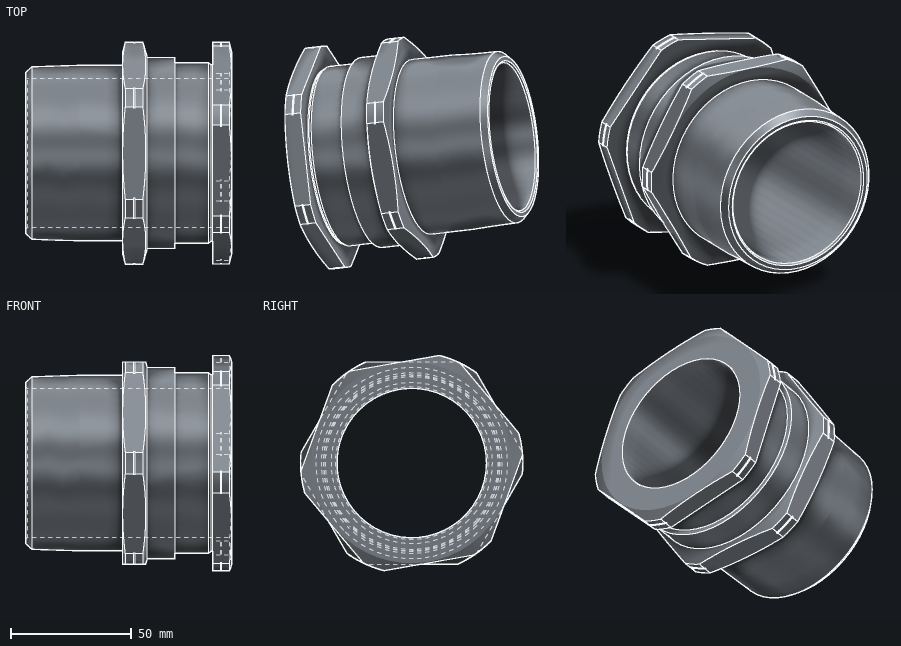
import cadquery as cq
import math

total_length = 85.6
tip_chamfer_end = 2.6
taper_end = 22.4
body_nut_start = 40.2
body_nut_end = 50.4
collar_end = 62.0
sleeve_end = 77.0
cap_start = 77.6

tip_radius = 33.4
taper_radius = 35.8
thread_radius = 36.5
collar_radius = 39.7
sleeve_radius = 37.5
neck_radius = 36.7
sleeve_chamfer_length = 1.2
bore_radius = 30.9
bore_mouth_radius = 31.7
bore_mouth_depth = bore_mouth_radius - bore_radius

corner_radius = 46.2
flat_distance = 42.0
bevel_radius = 41.65
body_nut_back_radius = 40.1
front_bevel_length = 1.2
back_bevel_length = 1.8
cap_bevel_length = 1.1
cap_angle = 10.0

groove_width = 0.5
groove_depth = 0.2
body_groove_position = 45.1
cap_groove_position = 81.1


def revolve_about_x(points):
    """Turn a closed (x, radius) outline about the X axis."""
    return cq.Workplane("XY").polyline(points).close().revolve(360, (0, 0, 0), (1, 0, 0))


def hexagon(start, end):
    """Hexagonal prism along X with two corners on the Y axis."""
    across_corners = 2 * flat_distance / math.cos(math.radians(30))
    return cq.Workplane("YZ", origin=(start, 0, 0)).polygon(6, across_corners).extrude(end - start)


def corner_groove(position):
    """Ring that cuts a fine groove into the rounded corners."""
    bottom_radius = corner_radius - groove_depth
    ring = cq.Workplane("YZ", origin=(position - groove_width / 2, 0, 0))
    return ring.circle(corner_radius + groove_depth).circle(bottom_radius).extrude(groove_width)


def make_body():
    return revolve_about_x([
        (0, 0),
        (0, tip_radius),
        (tip_chamfer_end, taper_radius),
        (taper_end, thread_radius),
        (body_nut_start, thread_radius),
        (body_nut_start, collar_radius),
        (collar_end, collar_radius),
        (collar_end, sleeve_radius),
        (sleeve_end - sleeve_chamfer_length, sleeve_radius),
        (sleeve_end, neck_radius),
        (total_length, neck_radius),
        (total_length, 0),
    ])


def make_body_nut():
    envelope = revolve_about_x([
        (body_nut_start, 0),
        (body_nut_start, bevel_radius),
        (body_nut_start + front_bevel_length, corner_radius),
        (body_nut_end - back_bevel_length, corner_radius),
        (body_nut_end, body_nut_back_radius),
        (body_nut_end, 0),
    ])
    nut = hexagon(body_nut_start, body_nut_end).intersect(envelope)
    return nut.cut(corner_groove(body_groove_position))


def make_cap_nut():
    envelope = revolve_about_x([
        (cap_start, 0),
        (cap_start, corner_radius),
        (total_length - cap_bevel_length, corner_radius),
        (total_length, bevel_radius),
        (total_length, 0),
    ])
    nut = hexagon(cap_start, total_length).intersect(envelope)
    nut = nut.cut(corner_groove(cap_groove_position))
    return nut.rotate((0, 0, 0), (1, 0, 0), cap_angle)


def make_bore():
    return revolve_about_x([
        (0, 0),
        (0, bore_mouth_radius),
        (bore_mouth_depth, bore_radius),
        (total_length, bore_radius),
        (total_length, 0),
    ])


result = make_body().union(make_body_nut()).union(make_cap_nut()).cut(make_bore())